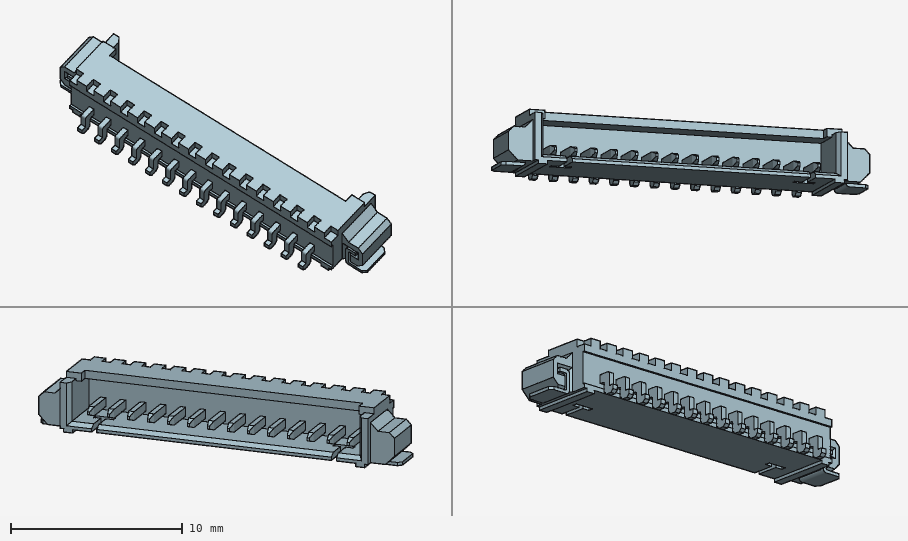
import cadquery as cq


contact_count = 14
contact_row_length = 16.26
pitch = contact_row_length / (contact_count - 1)
contact_xs = [(i - (contact_count - 1) / 2) * pitch for i in range(contact_count)]

notch_width = 0.52
notch_height = 0.48
notch_depth = 0.63
corner_notch_x = contact_xs[-1] + pitch

overall_length = 22.65
overall_height = 3.4
housing_length = 2 * corner_notch_x + notch_width
housing_depth = 4.21
housing_bottom = 0.2
mating_shoulder_depth = 1.02
mating_shoulder_top = 3.04
rear_recess_depth = 0.14
rear_recess_bottom = 0.48
rear_recess_top = 2.47
rail_width = 0.57
rail_center_x = 9.15

end_wall = 0.61
floor_top = 0.61
cavity_top = 2.9
cavity_back = 1.13
mouth_flare = 0.2
mouth_flare_depth = 0.35
roof_front = 2.6
roof_corner_front = housing_depth - mating_shoulder_depth
roof_corner_x = 8.7
cavity_half = housing_length / 2 - end_wall

floor_slot_width = 0.32
floor_slot_x = (contact_xs[-1] + contact_xs[-2]) / 2
floor_slot_back = 2.72
floor_slot_bar_back = floor_slot_back - floor_slot_width

contact_width = 0.35
contact_top = 1.35
contact_bottom = 0.82
contact_leg_inner = -0.23
contact_leg_outer = -0.68
contact_toe = -1.0
contact_toe_top = 0.48
contact_bend = 0.14
foot_chamfer = 0.18
tip_start = 3.01
tip_end = 3.49
tip_width = 0.14
tip_height = 0.18

wing_back = 1.05
wing_front = 3.8
wing_outer = 11.15
wing_root_top = 2.67
wing_top = 2.2
wing_root_slope = wing_root_top - wing_top
wing_top_bevel = 0.32
wing_bevel_start = 0.77

clip_foot_thickness = 0.2
clip_front = 3.17
clip_leg_thickness = 0.25
clip_leg_inner = 9.88
clip_leg_outer = clip_leg_inner + clip_leg_thickness
clip_tab_outer = 10.62
clip_tab_top = 1.52
clip_tab_bottom = 1.27
clip_outer = overall_length / 2
clip_outer_bend = 0.25
clip_inner_bend = 0.07
clip_foot_corner = 0.23
slot_flare = 0.2
hook_flare = 0.11


def block(x0, x1, y0, y1, z0, z1):
    """Axis-aligned box between opposite corners."""
    return cq.Workplane("XY").box(x1 - x0, y1 - y0, z1 - z0, centered=False).translate((x0, y0, z0))


def both_ends(shape):
    """The shape together with its mirror image at the other end of the row."""
    return shape.union(shape.mirror("YZ"))


def make_housing():
    half = housing_length / 2
    side_outline = [
        (0, housing_bottom),
        (housing_depth, housing_bottom),
        (housing_depth, mating_shoulder_top),
        (roof_corner_front, mating_shoulder_top),
        (roof_corner_front, overall_height),
        (0, overall_height),
        (0, rear_recess_top),
        (rear_recess_depth, rear_recess_top),
        (rear_recess_depth, rear_recess_bottom),
        (0, rear_recess_bottom),
    ]
    body = cq.Workplane("YZ").polyline(side_outline).close().extrude(half, both=True)
    rail_start = rail_center_x - rail_width / 2
    rail = block(rail_start, rail_start + rail_width, 0, housing_depth, 0, housing_bottom)
    return body.union(both_ends(rail))


def make_cavity():
    inside = block(-cavity_half, cavity_half, cavity_back, housing_depth, floor_top, cavity_top)
    open_top = block(-cavity_half, cavity_half, roof_corner_front, housing_depth, floor_top, overall_height)
    roof_cutback = block(-roof_corner_x, roof_corner_x, roof_front, housing_depth, floor_top, overall_height)

    flare_start = housing_depth - mouth_flare_depth
    flare_height = overall_height - floor_top
    flare = (
        cq.Workplane("XZ", origin=(0, flare_start, 0))
        .center(0, floor_top + flare_height / 2)
        .rect(2 * cavity_half, flare_height)
        .workplane(offset=-mouth_flare_depth)
        .rect(2 * (cavity_half + mouth_flare), flare_height + 2 * mouth_flare)
        .loft(ruled=True)
    )
    return inside.union(open_top).union(roof_cutback).union(flare)


def make_floor_slot():
    stem_start = floor_slot_x - floor_slot_width / 2
    stem = block(stem_start, stem_start + floor_slot_width, floor_slot_bar_back, housing_depth, 0, floor_top)
    bar = block(contact_xs[-2], contact_xs[-1], floor_slot_bar_back, floor_slot_back, 0, floor_top)
    return stem.union(bar)


def make_notches():
    centers = [(x, 0) for x in [-corner_notch_x, *contact_xs, corner_notch_x]]
    return (
        cq.Workplane("XY", origin=(0, 0, overall_height - notch_height))
        .pushPoints(centers)
        .rect(notch_width, 2 * notch_depth)
        .extrude(notch_height)
    )


def make_contact():
    outline = [
        (tip_start, contact_top),
        (contact_leg_outer, contact_top),
        (contact_leg_outer, contact_toe_top),
        (contact_toe, contact_toe_top),
        (contact_toe, 0),
        (contact_leg_inner, 0),
        (contact_leg_inner, contact_bottom),
        (tip_start, contact_bottom),
    ]
    half = contact_width / 2
    contact = cq.Workplane("YZ").polyline(outline).close().extrude(half, both=True)
    for bend in [(0, contact_leg_outer, contact_top), (0, contact_leg_inner, contact_bottom)]:
        contact = contact.edges(cq.selectors.NearestToPointSelector(bend)).fillet(contact_bend)
    contact = contact.faces("<Z").edges("|X").chamfer(foot_chamfer)
    middle = (contact_top + contact_bottom) / 2
    tip = (
        cq.Workplane("XZ", origin=(0, tip_start, middle))
        .rect(contact_width, contact_top - contact_bottom)
        .workplane(offset=tip_start - tip_end)
        .rect(tip_width, tip_height)
        .loft(ruled=True)
    )
    return contact.union(tip)


def clip_outline(grow=0, hook_grow=0):
    """Clip section in X and Z at the +X end, with every side moved outward by grow.

    The leg face beside the hook of the wing moves by hook_grow instead.
    """
    return [
        (clip_leg_inner - grow, -grow),
        (clip_outer + grow, -grow),
        (clip_outer + grow, clip_foot_thickness + grow),
        (clip_leg_outer + hook_grow, clip_foot_thickness + grow),
        (clip_leg_outer + hook_grow, clip_tab_bottom - grow),
        (clip_tab_outer + grow, clip_tab_bottom - grow),
        (clip_tab_outer + grow, clip_tab_top + grow),
        (clip_leg_inner - grow, clip_tab_top + grow),
    ]


def make_wing():
    root = housing_length / 2
    outline = [
        (root, housing_bottom),
        (wing_outer - (wing_bevel_start - housing_bottom), housing_bottom),
        (wing_outer, wing_bevel_start),
        (wing_outer, wing_top - wing_top_bevel),
        (wing_outer - wing_top_bevel, wing_top),
        (root + wing_root_slope, wing_top),
        (root, wing_root_top),
    ]
    rear = cq.Workplane("XZ", origin=(0, wing_back, 0))
    wing = rear.polyline(outline).close().extrude(wing_back - wing_front)
    slot = rear.polyline(clip_outline()).close().extrude(wing_back - clip_front)
    slot_entry = (
        rear.polyline(clip_outline(slot_flare, hook_flare)).close()
        .workplane(offset=-slot_flare)
        .polyline(clip_outline()).close()
        .loft(ruled=True)
    )
    return wing.cut(slot).cut(slot_entry)


def make_clip():
    rear = cq.Workplane("XZ", origin=(0, wing_back, 0))
    clip = rear.polyline(clip_outline()).close().extrude(wing_back - clip_front)
    clip = clip.edges("|Y and <X").fillet(clip_outer_bend)
    leg_face_center = (
        clip_leg_outer,
        (wing_back + clip_front) / 2,
        (clip_foot_thickness + clip_tab_bottom) / 2,
    )
    leg_face = clip.faces(cq.selectors.NearestToPointSelector(leg_face_center))
    clip = leg_face.edges("|Y").fillet(clip_inner_bend)
    return clip.faces(">X").edges("|Z").chamfer(clip_foot_corner)


result = make_housing().cut(make_cavity()).cut(both_ends(make_floor_slot())).cut(make_notches())
result = result.union(both_ends(make_wing().union(make_clip())))
contact = make_contact()
for x in contact_xs:
    result = result.union(contact.translate((x, 0, 0)))